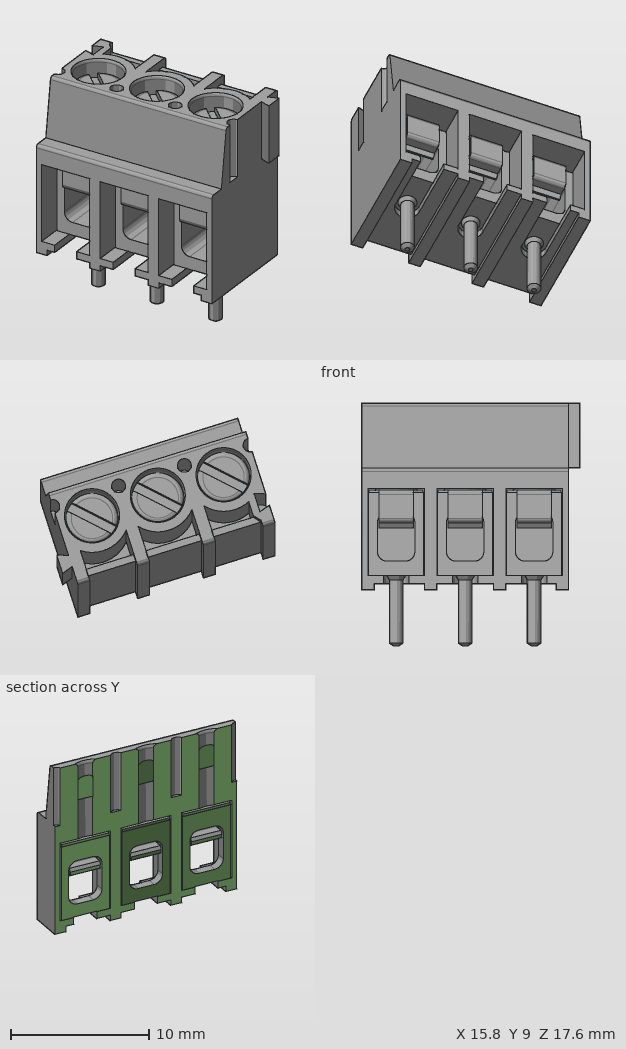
import cadquery as cq
import math


pole_count = 3
pitch = 5.0
total_height = 17.6
body_width = pole_count * pitch
body_depth = 9.0
body_height = 13.53
pole_xs = [(i + 0.5) * pitch for i in range(pole_count)]
boundary_xs = [i * pitch for i in range(pole_count + 1)]
axis_y = 4.5

shelf_z = 8.84
shelf_depth = 1.28
slope_top_y = 1.95
edge_radius = 0.25

rib_width = 0.92
foot_height = 0.44
back_recess = 0.45
back_wall_thickness = 0.51
back_wall_top_z = 12.9
collar_radius = 2.7
thick_side_wall = 1.35

cell_width = 4.1
cell_floor_z = 1.04
cell_top_z = 7.34
cage_depth = 5.0
cage_front_y = axis_y - cage_depth / 2
cage_back_y = axis_y + cage_depth / 2
pin_slot_width = 1.87

well_diameter = 3.8
well_rim_diameter = 4.0
well_rim_height = 0.25
test_hole_diameter = 1.0
test_hole_y = 3.0

dovetail_y = 7.2
dovetail_neck = 0.86
dovetail_flare = 1.4
overall_width = 15.8
dovetail_depth = overall_width - body_width

cage_width = 4.0
cage_height = 6.0
cage_top_z = cell_floor_z + cage_height
wire_hole_width = 2.71
wire_hole_height = 3.5
wire_hole_radius = 0.7
wire_hole_z = 2.08
wire_hole_top_z = wire_hole_z + wire_hole_height
pin_diameter = 1.0
pin_root_diameter = 1.37
pin_root_height = 0.32
pin_tip_height = 0.21
pin_tip_diameter = 0.35
pin_tip_z = body_height - total_height

guard_thickness = 0.2
guard_plate_width = 3.9
guard_corner_setback = 0.3
guard_hole_diameter = 3.05
guard_bend_radius = 0.32
tongue_width = 2.5
tongue_front_y = 1.58
tongue_bottom_z = 4.85
tongue_run_end_y = 2.46
lip_bottom_z = 4.47
lip_angle = 25

screw_top_z = 12.53
screw_head_height = 2.0
screw_crown_diameter = 3.0
shank_diameter = 3.0
screw_slot_width = 0.7
screw_slot_depth = 0.5


def box(x0, x1, y0, y1, z0, z1):
    """Box given by its limits along each axis."""
    return cq.Workplane("XY").box(x1 - x0, y1 - y0, z1 - z0, centered=False).translate((x0, y0, z0))


def cylinder(x, y, diameter, z0, z1):
    """Upright cylinder between two heights."""
    return cq.Workplane("XY", origin=(x, y, z0)).circle(diameter / 2).extrude(z1 - z0)


def bay_limits(x):
    """Left and right X of the bay between the ribs of one pole; end ribs lie inside the body."""
    left = max(x - pitch / 2 + rib_width / 2, rib_width)
    right = min(x + pitch / 2 - rib_width / 2, body_width - rib_width)
    return left, right


def housing_block():
    """Stepped block with rounded top edges."""
    outline = [
        (0, 0),
        (body_depth, 0),
        (body_depth, body_height),
        (slope_top_y, body_height),
        (shelf_depth, shelf_z),
        (0, shelf_z),
    ]
    block = cq.Workplane("YZ").polyline(outline).close().extrude(body_width)
    block = block.faces(">Z").edges("|X").fillet(edge_radius)
    return block.faces("<Y").edges(">Z").fillet(edge_radius)


def cell_cut(x):
    """Front cell for the cage, and the slot through its floor for the pin."""
    half_width = cell_width / 2
    half_slot = pin_slot_width / 2
    cell = box(x - half_width, x + half_width, 0, cage_back_y, cell_floor_z, cell_top_z)
    slot = box(x - half_slot, x + half_slot, 0, axis_y, 0, cell_floor_z)
    slot_end = cylinder(x, axis_y, pin_slot_width, 0, cell_floor_z)
    return cell.union(slot).union(slot_end)


def well_cut(x):
    """Screw well from the top down into the cell, its wall curving out to a wider rim."""
    well_radius = well_diameter / 2
    rim_radius = well_rim_diameter / 2
    flare = rim_radius - well_radius
    arc_radius = (flare**2 + well_rim_height**2) / (2 * flare)
    half_angle = math.asin(well_rim_height / arc_radius) / 2
    arc_middle = (
        well_radius + arc_radius * (1 - math.cos(half_angle)),
        body_height - well_rim_height + arc_radius * math.sin(half_angle),
    )
    profile = (
        cq.Workplane("XZ")
        .moveTo(0, cell_top_z)
        .lineTo(well_radius, cell_top_z)
        .lineTo(well_radius, body_height - well_rim_height)
        .threePointArc(arc_middle, (rim_radius, body_height))
        .lineTo(0, body_height)
        .close()
    )
    return profile.revolve(360, (0, 0), (0, 1)).translate((x, axis_y, 0))


def back_cut(x):
    """Back recess, lowered back wall and pocket behind one screw well."""
    left, right = bay_limits(x)
    pocket_left = max(left, thick_side_wall)
    wall_back_y = body_depth - back_recess
    wall_front_y = wall_back_y - back_wall_thickness
    recess = box(left, right, wall_back_y, body_depth, 0, body_height)
    wall_outline = [
        (left, wall_back_y),
        (right, wall_back_y),
        (right, wall_front_y),
        (pocket_left, wall_front_y),
    ]
    above_wall = (
        cq.Workplane("XY", origin=(0, 0, back_wall_top_z))
        .polyline(wall_outline)
        .close()
        .extrude(body_height - back_wall_top_z)
    )
    pocket = box(pocket_left, right, axis_y, wall_front_y, shelf_z, body_height)
    collar = cylinder(x, axis_y, 2 * collar_radius, shelf_z, body_height)
    return recess.union(above_wall).union(pocket.cut(collar))


def dovetail(x):
    """Dovetail key that widens toward +X."""
    neck = dovetail_neck / 2
    flare = dovetail_flare / 2
    outline = [(0, -neck), (dovetail_depth, -flare), (dovetail_depth, flare), (0, neck)]
    key = cq.Workplane("XY").polyline(outline).close().extrude(body_height - shelf_z)
    return key.translate((x, dovetail_y, shelf_z))


def foot_gap_cut(x):
    """Clearance under the cell floor between two rows of feet."""
    left, right = bay_limits(x)
    return box(left, right, 0, body_depth, 0, foot_height)


def make_housing():
    housing = housing_block()
    for x in pole_xs:
        housing = housing.cut(foot_gap_cut(x)).cut(back_cut(x)).cut(cell_cut(x)).cut(well_cut(x))
    for x in boundary_xs:
        housing = housing.cut(cylinder(x, test_hole_y, test_hole_diameter, shelf_z, body_height))
    return housing.cut(dovetail(0)).union(dovetail(body_width))


def make_pin(x):
    """Round solder pin with a conical root under the cage and a conical tip."""
    half_profile = [
        (0, pin_tip_z),
        (pin_tip_diameter / 2, pin_tip_z),
        (pin_diameter / 2, pin_tip_z + pin_tip_height),
        (pin_diameter / 2, cell_floor_z - pin_root_height),
        (pin_root_diameter / 2, cell_floor_z),
        (0, cell_floor_z),
    ]
    pin = cq.Workplane("XZ").polyline(half_profile).close().revolve(360, (0, 0), (0, 1))
    return pin.translate((x, axis_y, 0))


def make_cage(x):
    """Box clamp with a wire hole through its depth, a screw hole in its roof and the pin below."""
    half_width = cage_width / 2
    cage = box(x - half_width, x + half_width, cage_front_y, cage_back_y, cell_floor_z, cage_top_z)
    wire_hole = (
        box(-wire_hole_width / 2, wire_hole_width / 2, 0, cage_depth, 0, wire_hole_height)
        .edges("|Y")
        .fillet(wire_hole_radius)
        .translate((x, cage_front_y, wire_hole_z))
    )
    shank_hole = cylinder(x, axis_y, shank_diameter, wire_hole_top_z, cage_top_z)
    return cage.cut(wire_hole).cut(shank_hole).union(make_pin(x))


def guard_tongue(x):
    """Strip bent down in front of the cage, back into the wire hole and down to a lip."""
    top_z = cage_top_z + guard_thickness
    inner_radius = guard_bend_radius - guard_thickness
    bend_y = tongue_front_y + guard_bend_radius
    upper_bend_z = top_z - guard_bend_radius
    lower_bend_z = tongue_bottom_z + guard_bend_radius
    back_y = tongue_front_y + guard_thickness
    run_top_z = tongue_bottom_z + guard_thickness
    tilt = math.radians(lip_angle)
    lip_y = tongue_run_end_y + (tongue_bottom_z - lip_bottom_z) * math.tan(tilt)
    corner_shift = guard_thickness * math.tan((math.pi / 2 - tilt) / 2)
    lip_end = (lip_y + guard_thickness * math.cos(tilt), lip_bottom_z + guard_thickness * math.sin(tilt))
    diagonal = math.sqrt(0.5)
    outer = guard_bend_radius * diagonal
    inner = inner_radius * diagonal
    profile = (
        cq.Workplane("YZ", origin=(x - tongue_width / 2, 0, 0))
        .moveTo(axis_y, top_z)
        .lineTo(bend_y, top_z)
        .threePointArc((bend_y - outer, upper_bend_z + outer), (tongue_front_y, upper_bend_z))
        .lineTo(tongue_front_y, lower_bend_z)
        .threePointArc((bend_y - outer, lower_bend_z - outer), (bend_y, tongue_bottom_z))
        .lineTo(tongue_run_end_y, tongue_bottom_z)
        .lineTo(lip_y, lip_bottom_z)
        .lineTo(*lip_end)
        .lineTo(tongue_run_end_y + corner_shift, run_top_z)
        .lineTo(bend_y, run_top_z)
        .threePointArc((bend_y - inner, lower_bend_z - inner), (back_y, lower_bend_z))
        .lineTo(back_y, upper_bend_z)
        .threePointArc((bend_y - inner, upper_bend_z + inner), (bend_y, cage_top_z))
        .lineTo(axis_y, cage_top_z)
        .close()
    )
    return profile.extrude(tongue_width)


def guard_plate(x):
    """Flat plate on the cage, its front edges slanting back beside the tongue."""
    half_width = guard_plate_width / 2
    half_tongue = tongue_width / 2
    corner_y = cage_front_y + guard_corner_setback
    outline = [
        (x - half_tongue, cage_front_y),
        (x + half_tongue, cage_front_y),
        (x + half_width, corner_y),
        (x + half_width, cage_back_y),
        (x - half_width, cage_back_y),
        (x - half_width, corner_y),
    ]
    return cq.Workplane("XY", origin=(0, 0, cage_top_z)).polyline(outline).close().extrude(guard_thickness)


def make_guard(x):
    """Plate and tongue in one piece, with clearance for the screw shank."""
    guard = guard_plate(x).union(guard_tongue(x))
    return guard.cut(cylinder(x, axis_y, guard_hole_diameter, cage_top_z, cage_top_z + guard_thickness))


def make_screw(x):
    """Slotted screw with a rounded crown, its shank ending flush with the roof of the wire hole."""
    head_bottom_z = screw_top_z - screw_head_height
    crown_radius = (well_diameter - screw_crown_diameter) / 2
    head = cylinder(x, axis_y, well_diameter, head_bottom_z, screw_top_z)
    head = head.faces(">Z").edges().fillet(crown_radius)
    shank = cylinder(x, axis_y, shank_diameter, wire_hole_top_z, head_bottom_z)
    slot = (
        cq.Workplane("XY", origin=(x, axis_y, screw_top_z - screw_slot_depth))
        .transformed(rotate=(0, 0, -45))
        .rect(2 * well_diameter, screw_slot_width)
        .extrude(screw_slot_depth)
    )
    return head.union(shank).cut(slot)


housing = make_housing()
cages = [make_cage(x).val() for x in pole_xs]
guards = [make_guard(x).val() for x in pole_xs]
screws = [make_screw(x).val() for x in pole_xs]

result = cq.Compound.makeCompound([housing.val(), *cages, *guards, *screws])